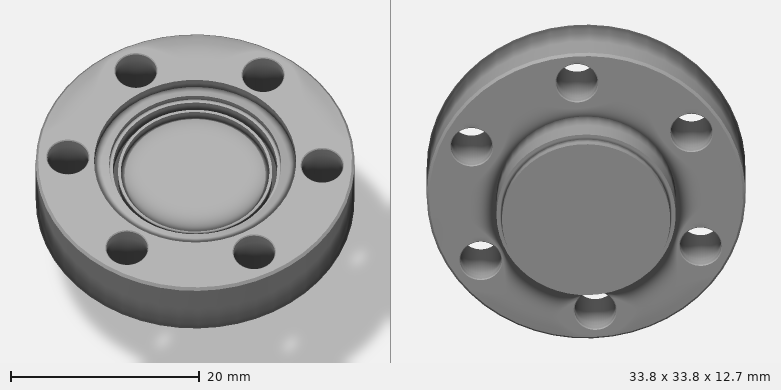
import cadquery as cq
import math

flange_radius = 16.9
flange_thickness = 7.23
rim_chamfer = 0.27
hub_radius = 9.5
hub_bottom_depth = 11.55

bolt_count = 6
bolt_circle_radius = 13.48
bolt_hole_radius = 2.2
bolt_hole_chamfer = 0.1

recess_radius = 10.7
knife_radius = 9.12
knife_depth = 0.68
knife_angle = 20.0
recess_depth = knife_depth + (recess_radius - knife_radius) * math.tan(math.radians(knife_angle))

ledge_depth = 1.35
groove_radius = 8.7
groove_depth = 3.05
bore_radius = 8.4

lip_radius = 8.17
lip_depth = 1.9
foot_radius = 8.92
total_height = 12.7

plug_radius = 7.87
plug_top_radius = 7.45
plug_top_depth = 2.6
taper_height = 0.37


def revolve_profile(points):
    """Turn (radius, z) points about the Z axis."""
    return cq.Workplane("XZ").polyline(points).close().revolve(360, (0, 0, 0), (0, 1, 0))


def cut_bolt_holes(body):
    """Cut the chamfered through holes, with one hole on the +Y axis."""
    mouth_radius = bolt_hole_radius + bolt_hole_chamfer
    cutter = revolve_profile([
        (0, 0),
        (mouth_radius, 0),
        (bolt_hole_radius, -bolt_hole_chamfer),
        (bolt_hole_radius, -flange_thickness + bolt_hole_chamfer),
        (mouth_radius, -flange_thickness),
        (0, -flange_thickness),
    ]).translate((0, bolt_circle_radius, 0))
    for index in range(bolt_count):
        angle = index * 360 / bolt_count
        body = body.cut(cutter.rotate((0, 0, 0), (0, 0, 1), angle))
    return body


def make_flange():
    """Bolted flange with gasket recess, knife edge, stepped bore and hub."""
    body = revolve_profile([
        (recess_radius, 0),
        (flange_radius - rim_chamfer, 0),
        (flange_radius, -rim_chamfer),
        (flange_radius, -flange_thickness + rim_chamfer),
        (flange_radius - rim_chamfer, -flange_thickness),
        (hub_radius, -flange_thickness),
        (hub_radius, -hub_bottom_depth),
        (bore_radius, -hub_bottom_depth),
        (bore_radius, -groove_depth),
        (groove_radius, -groove_depth),
        (groove_radius, -ledge_depth),
        (knife_radius, -ledge_depth),
        (knife_radius, -knife_depth),
        (recess_radius, -recess_depth),
    ])
    return cut_bolt_holes(body)


def make_sleeve():
    """Ring lining the flange bore, with its foot against the hub."""
    return revolve_profile([
        (plug_radius, -lip_depth),
        (lip_radius, -lip_depth),
        (lip_radius, -groove_depth),
        (bore_radius, -groove_depth),
        (bore_radius, -hub_bottom_depth),
        (foot_radius, -hub_bottom_depth),
        (foot_radius, -total_height),
        (plug_radius, -total_height),
    ])


def make_plug():
    """Round plug filling the sleeve, tapered at its top."""
    return revolve_profile([
        (0, -plug_top_depth),
        (plug_top_radius, -plug_top_depth),
        (plug_radius, -plug_top_depth - taper_height),
        (plug_radius, -total_height),
        (0, -total_height),
    ])


flange = make_flange()
sleeve = make_sleeve()
plug = make_plug()
result = cq.Compound.makeCompound([flange.val(), sleeve.val(), plug.val()])